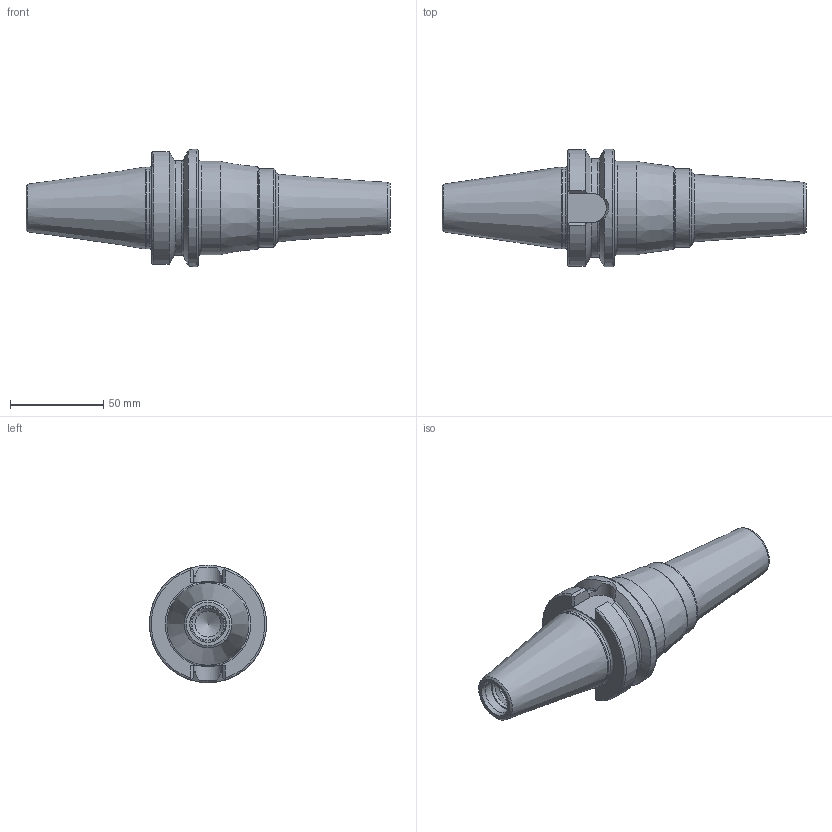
import cadquery as cq
import math


taper_length = 65.4
projection = 130.0
gauge_diameter = 44.45
gauge_radius = gauge_diameter / 2
taper_ratio = 7 / 24
taper_tip_chamfer_length = 0.7
taper_tip_chamfer_depth = 1.0

neck_start = -1.5
neck_floor_start = -0.6
neck_radius = 21.8
neck_fillet = 1.1

flange_start = 2.0
flange_end = 27.0
flange_diameter = 63.0
flange_radius = flange_diameter / 2
flange_edge_fillet = 1.0

groove_centre = 16.6
groove_floor_width = 4.6
groove_floor_radius = 26.5
groove_floor_fillet = 1.0
groove_flank_angle = 60.0

body_radius = 25.0
body_fillet = 2.0
body_cylinder_end = 39.1
body_cone_end = 59.2
body_cone_end_radius = 22.1
shoulder_fillet = 0.5
collar_radius = 21.0
collar_end = 68.0
collar_flank_angle = 60.0
collar_fillet = 1.2
nose_start_radius = 18.2
nose_end_radius = 13.8
nose_chamfer_length = 1.2
nose_chamfer_depth = 0.6

slot_width = 16.0
slot_end = 22.9
slot_floor = 22.5
slot_chamfer = 1.2

bore_mouth_radius = 9.8
bore_mouth_depth = 2.2
bore_recess_radius = 9.2
bore_recess_depth = 6.7
bore_step_radius = 8.6
bore_step_depth = 8.8
bore_core_radius = 7.0
bore_depth = 38.0
bore_tip_angle = 118.0


def taper_radius(x):
    """Radius of the taper at x."""
    return gauge_radius + taper_ratio / 2 * x


def flank_run(drop, angle):
    """Axial length of a flank that falls by drop at the given angle to the axis."""
    return drop / math.tan(math.radians(angle))


def round_rim(body, x, radius, fillet):
    """Fillet the circular edge of the given radius that lies at x."""
    tolerance = 1e-4
    rim = body.edges("%CIRCLE").filter(
        lambda edge: abs(edge.Center().x - x) < tolerance and abs(edge.radius() - radius) < tolerance
    )
    return body.newObject(rim.vals()).fillet(fillet)


def turned_body():
    """Solid holder without the bore and the drive slots."""
    flank_length = flank_run(flange_radius - groove_floor_radius, groove_flank_angle)
    floor_start = groove_centre - groove_floor_width / 2
    floor_end = groove_centre + groove_floor_width / 2
    nose_start = collar_end + flank_run(collar_radius - nose_start_radius, collar_flank_angle)
    tip_radius = taper_radius(-taper_length)
    chamfer_end = -taper_length + taper_tip_chamfer_length
    body = (
        cq.Workplane("XY")
        .moveTo(-taper_length, 0)
        .lineTo(-taper_length, tip_radius - taper_tip_chamfer_depth)
        .lineTo(chamfer_end, taper_radius(chamfer_end))
        .lineTo(neck_start, taper_radius(neck_start))
        .lineTo(neck_floor_start, neck_radius)
        .lineTo(flange_start, neck_radius)
        .lineTo(flange_start, flange_radius)
        .lineTo(floor_start - flank_length, flange_radius)
        .lineTo(floor_start, groove_floor_radius)
        .lineTo(floor_end, groove_floor_radius)
        .lineTo(floor_end + flank_length, flange_radius)
        .lineTo(flange_end, flange_radius)
        .lineTo(flange_end, body_radius)
        .lineTo(body_cylinder_end, body_radius)
        .lineTo(body_cone_end, body_cone_end_radius)
        .lineTo(body_cone_end, collar_radius)
        .lineTo(collar_end, collar_radius)
        .lineTo(nose_start, nose_start_radius)
        .lineTo(projection - nose_chamfer_length, nose_end_radius)
        .lineTo(projection, nose_end_radius - nose_chamfer_depth)
        .lineTo(projection, 0)
        .close()
        .revolve(360, (0, 0, 0), (1, 0, 0))
    )
    rounded_rims = [
        (flange_start, neck_radius, neck_fillet),
        (flange_start, flange_radius, flange_edge_fillet),
        (floor_start, groove_floor_radius, groove_floor_fillet),
        (floor_end, groove_floor_radius, groove_floor_fillet),
        (flange_end, flange_radius, flange_edge_fillet),
        (flange_end, body_radius, body_fillet),
        (body_cone_end, body_cone_end_radius, shoulder_fillet),
        (body_cone_end, collar_radius, shoulder_fillet),
        (collar_end, collar_radius, collar_fillet),
        (nose_start, nose_start_radius, collar_fillet),
    ]
    for x, radius, fillet in rounded_rims:
        body = round_rim(body, x, radius, fillet)
    return body


def pull_stud_bore():
    """Stepped blind bore entering from the small end of the taper."""
    tip_length = flank_run(bore_core_radius, bore_tip_angle / 2)
    countersink_depth = bore_step_radius - bore_core_radius
    back = -taper_length
    return (
        cq.Workplane("XY")
        .moveTo(back, 0)
        .lineTo(back, bore_mouth_radius)
        .lineTo(back + bore_mouth_depth, bore_recess_radius)
        .lineTo(back + bore_recess_depth, bore_recess_radius)
        .lineTo(back + bore_recess_depth, bore_step_radius)
        .lineTo(back + bore_step_depth, bore_step_radius)
        .lineTo(back + bore_step_depth + countersink_depth, bore_core_radius)
        .lineTo(back + bore_depth, bore_core_radius)
        .lineTo(back + bore_depth + tip_length, 0)
        .close()
        .revolve(360, (0, 0, 0), (1, 0, 0))
    )


def drive_slot():
    """Cutting tool for the drive slot on the +Z side of the flange."""
    half = slot_width / 2
    arc_centre = slot_end - half
    height = flange_radius - slot_floor
    wide = half + slot_chamfer

    channel = (
        cq.Workplane("XY", origin=(0, 0, slot_floor))
        .moveTo(flange_start, -wide)
        .lineTo(flange_start + slot_chamfer, -half)
        .lineTo(arc_centre, -half)
        .threePointArc((slot_end, 0), (arc_centre, half))
        .lineTo(flange_start + slot_chamfer, half)
        .lineTo(flange_start, wide)
        .close()
        .extrude(height)
    )

    edge_top = math.sqrt(flange_radius**2 - wide**2)
    edge_bottom = edge_top - slot_chamfer
    spread = flange_radius - edge_bottom
    edge_bevel = (
        cq.Workplane("YZ", origin=(flange_start, 0, 0))
        .moveTo(-half, edge_bottom)
        .lineTo(half, edge_bottom)
        .lineTo(half + spread, flange_radius)
        .lineTo(-half - spread, flange_radius)
        .close()
        .extrude(groove_centre - flange_start)
    )

    end_bevel = cq.Workplane(
        cq.Solid.makeCone(
            half,
            wide,
            slot_chamfer,
            pnt=cq.Vector(arc_centre, 0, flange_radius - slot_chamfer),
        )
    )
    return channel.union(edge_bevel).union(end_bevel)


slot = drive_slot()
opposite_slot = slot.rotate((0, 0, 0), (1, 0, 0), 180)
result = turned_body().cut(pull_stud_bore()).cut(slot).cut(opposite_slot)